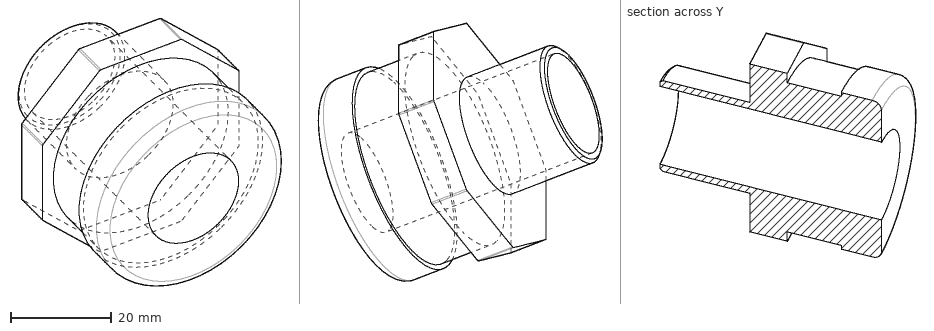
import cadquery as cq
import math

length = 47.1
start_x = -length / 2
nut_start = start_x + 19.08
nut_width = 8.0
collar_start = start_x + 38.55
collar_width = length / 2 - collar_start

spigot_diameter = 25.0
body_diameter = 41.0
collar_diameter = 43.0
bore_diameter = 21.2
spigot_chamfer = 0.65
collar_fillet = 2.0

across_flats = 46.0
corner_cut = across_flats * (1 - math.tan(math.pi / 8)) / 2
nut_edge_fillet = 0.5


def cylinder(x_start, width, diameter):
    """Solid cylinder along +X."""
    return cq.Workplane("YZ", origin=(x_start, 0, 0)).circle(diameter / 2).extrude(width)


spigot = cylinder(start_x, nut_start - start_x, spigot_diameter)
spigot = spigot.faces("<X").chamfer(spigot_chamfer)

nut = (
    cq.Workplane("YZ", origin=(nut_start, 0, 0))
    .rect(across_flats, across_flats)
    .extrude(nut_width)
    .edges("|X")
    .chamfer(corner_cut)
    .edges("|X")
    .fillet(nut_edge_fillet)
)

body_start = nut_start + nut_width
body = cylinder(body_start, collar_start - body_start, body_diameter)

collar = cylinder(collar_start, collar_width, collar_diameter)
collar = collar.faces(">X").edges().fillet(collar_fillet)

bore = cylinder(start_x, length, bore_diameter)

result = spigot.union(nut).union(body).union(collar).cut(bore)